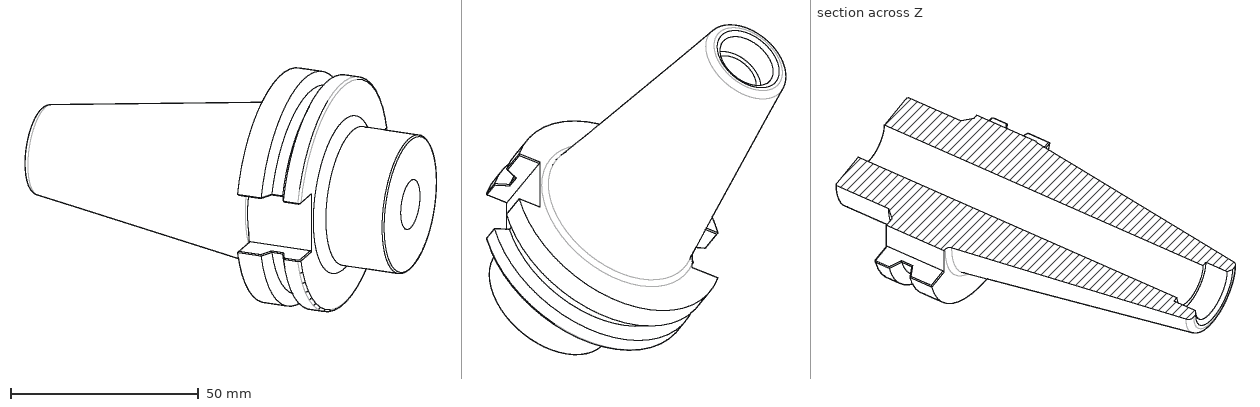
import cadquery as cq
import math

total_length = 106.4
flange_start = 69.3
flange_end = 87.3
groove_start = 76.1
groove_floor_start = 77.7
groove_floor_end = 80.8
groove_end = 82.5

taper_slope = 0.15
nose_rounding_length = 1.4
nose_face_diameter = 21.0
taper_large_diameter = 44.5
root_fillet = 1.4

flange_diameter = 63.2
groove_diameter = 56.3
flange_rounding = 0.6
spigot_diameter = 37.4
collar_cone = 2.6
spigot_chamfer = 0.4

through_diameter = 13.4
counterbore_diameter = 16.3
counterbore_depth = 7.5
entry_diameter = 19.0
entry_depth = 0.9

slot_width = 16.0
slot_edge_chamfer = 0.3
slot_floor_back = 24.2
slot_floor_front = 22.6

tolerance = 0.001


def make_body():
    """Revolve the outer half profile about the X axis."""
    nose_face_radius = nose_face_diameter / 2
    taper_radius = taper_large_diameter / 2
    flange_radius = flange_diameter / 2
    groove_radius = groove_diameter / 2
    spigot_radius = spigot_diameter / 2
    taper_angle = math.atan(taper_slope)
    taper_end = flange_start - root_fillet * (1 - math.sin(taper_angle))
    nose_radius = taper_radius - taper_slope * (taper_end - nose_rounding_length)
    fillet_center_radius = taper_radius + root_fillet * math.cos(taper_angle)
    diagonal = math.sqrt(0.5)

    profile = (
        cq.Workplane("XY")
        .lineTo(0, nose_face_radius)
        .spline(
            [(nose_rounding_length, nose_radius)],
            tangents=[(0, 1), (math.cos(taper_angle), math.sin(taper_angle))],
            includeCurrent=True,
        )
        .lineTo(taper_end, taper_radius)
        .tangentArcPoint((flange_start, fillet_center_radius), relative=False)
        .lineTo(flange_start, flange_radius)
        .lineTo(groove_start, flange_radius)
        .lineTo(groove_floor_start, groove_radius)
        .lineTo(groove_floor_end, groove_radius)
        .lineTo(groove_end, flange_radius)
        .lineTo(flange_end - flange_rounding, flange_radius)
        .threePointArc(
            (
                flange_end - flange_rounding * (1 - diagonal),
                flange_radius - flange_rounding * (1 - diagonal),
            ),
            (flange_end, flange_radius - flange_rounding),
        )
        .lineTo(flange_end, spigot_radius + collar_cone)
        .lineTo(flange_end + collar_cone, spigot_radius)
        .lineTo(total_length - spigot_chamfer, spigot_radius)
        .lineTo(total_length, spigot_radius - spigot_chamfer)
        .lineTo(total_length, 0)
        .close()
    )
    return profile.revolve(360, (0, 0), (1, 0))


def make_bore():
    """Through bore with a counterbore and conical entry at the taper end."""
    return (
        cq.Workplane("XY")
        .lineTo(0, entry_diameter / 2)
        .lineTo(entry_depth, counterbore_diameter / 2)
        .lineTo(counterbore_depth, counterbore_diameter / 2)
        .lineTo(counterbore_depth, through_diameter / 2)
        .lineTo(total_length, through_diameter / 2)
        .lineTo(total_length, 0)
        .close()
        .revolve(360, (0, 0), (1, 0))
    )


def make_slot(side, floor_distance):
    """Cutter for one drive slot; side is +1 for +Y and -1 for -Y."""
    slot_start = flange_start - root_fillet
    depth = flange_diameter / 2 - floor_distance
    return cq.Workplane("XY").box(flange_end - slot_start, depth, slot_width).translate(
        ((slot_start + flange_end) / 2, side * (floor_distance + depth / 2), 0)
    )


def is_slot_rim(edge):
    """True for the outer edges of the slot walls, leaving out the floor corners."""
    box = edge.BoundingBox()
    half_width = slot_width / 2
    on_wall = box.zlen < tolerance and abs(abs(box.center.z) - half_width) < tolerance
    floor = slot_floor_back if box.center.y > 0 else slot_floor_front
    on_floor = abs(abs(box.center.y) - floor) < tolerance and box.ylen < tolerance
    return on_wall and not on_floor and box.xmin > flange_start - tolerance


def chamfer_slot_walls(body):
    """Break the outer edges of the four slot walls."""
    rim = [edge for edge in body.edges().vals() if is_slot_rim(edge)]
    return body.newObject(rim).chamfer(slot_edge_chamfer)


slotted_body = (
    make_body()
    .cut(make_slot(1, slot_floor_back))
    .cut(make_slot(-1, slot_floor_front))
)
result = chamfer_slot_walls(slotted_body).cut(make_bore())